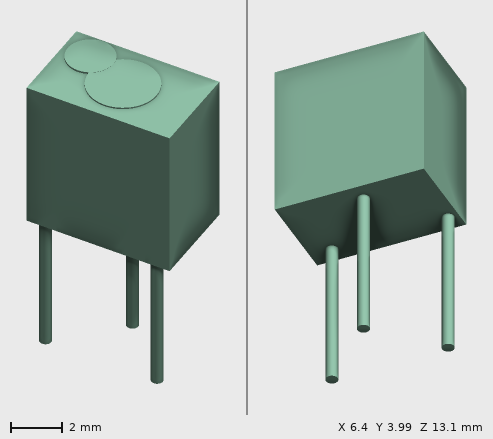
import cadquery as cq

housing_length = 6.4
housing_width = 3.99
total_height = 13.13
pin_length = 6.35
large_disc_thickness = 0.07
small_disc_thickness = 0.08
housing_height = total_height - pin_length - small_disc_thickness

pin_diameter = 0.51
pin_pitch = 2.5
pin_row_spacing = 2.5
pin_rows_center_y = -0.04
middle_pin_x = -0.25

large_disc_diameter = 3.0
small_disc_diameter = 2.04
small_disc_x = -1.93
small_disc_y = 0.85


def make_housing():
    """Plain rectangular block standing on Z = 0."""
    return cq.Workplane("XY").box(
        housing_length, housing_width, housing_height, centered=(True, True, False)
    )


def make_pin(x, y):
    """Straight round lead hanging from the underside of the housing."""
    return cq.Workplane("XY").center(x, y).circle(pin_diameter / 2).extrude(-pin_length)


def make_large_disc():
    """Complete thin disc at the centre of the top face."""
    return (
        cq.Workplane("XY", origin=(0, 0, housing_height))
        .circle(large_disc_diameter / 2)
        .extrude(large_disc_thickness)
    )


def make_small_disc(large_disc):
    """Slightly thicker disc near the corner, recessed below where it laps over the large disc."""
    disc = (
        cq.Workplane("XY", origin=(small_disc_x, small_disc_y, housing_height))
        .circle(small_disc_diameter / 2)
        .extrude(small_disc_thickness)
    )
    return disc.cut(large_disc)


housing = make_housing()
large_disc = make_large_disc()
small_disc = make_small_disc(large_disc)

pins = []
for step, side in [(-1, -1), (0, 1), (1, -1)]:
    pin = make_pin(middle_pin_x + step * pin_pitch, pin_rows_center_y + side * pin_row_spacing / 2)
    pins.append(pin.val())

result = cq.Compound.makeCompound(
    [housing.val(), small_disc.val(), large_disc.val(), *pins]
)